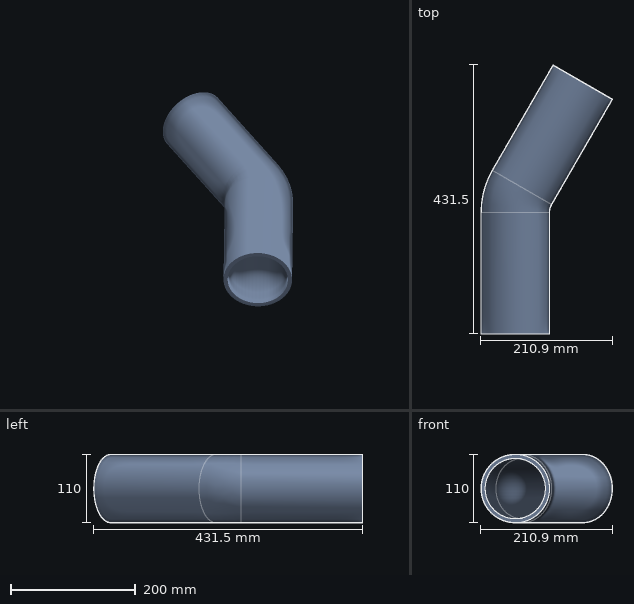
import cadquery as cq
import math

outer_diameter = 110.0
inner_diameter = 96.5
leg_length = 195.0
bend_radius = 80.3
bend_angle = 30.0

angle = math.radians(bend_angle)
far_leg_direction = (math.sin(angle), math.cos(angle), 0)
bend_end = (
    bend_radius * (1 - math.cos(angle)),
    leg_length + bend_radius * math.sin(angle),
    0,
)


def pipe_section(origin, direction):
    """Annular pipe section, square to the given direction."""
    plane = cq.Plane(origin=origin, xDir=(0, 0, 1), normal=direction)
    return cq.Workplane(plane).circle(outer_diameter / 2).circle(inner_diameter / 2)


near_leg = pipe_section((0, 0, 0), (0, 1, 0)).extrude(leg_length)
far_leg = pipe_section(bend_end, far_leg_direction).extrude(leg_length)

bend = pipe_section((0, leg_length, 0), (0, 1, 0)).revolve(
    bend_angle, (0, bend_radius, 0), (-1, bend_radius, 0)
)

result = near_leg.union(bend).union(far_leg)